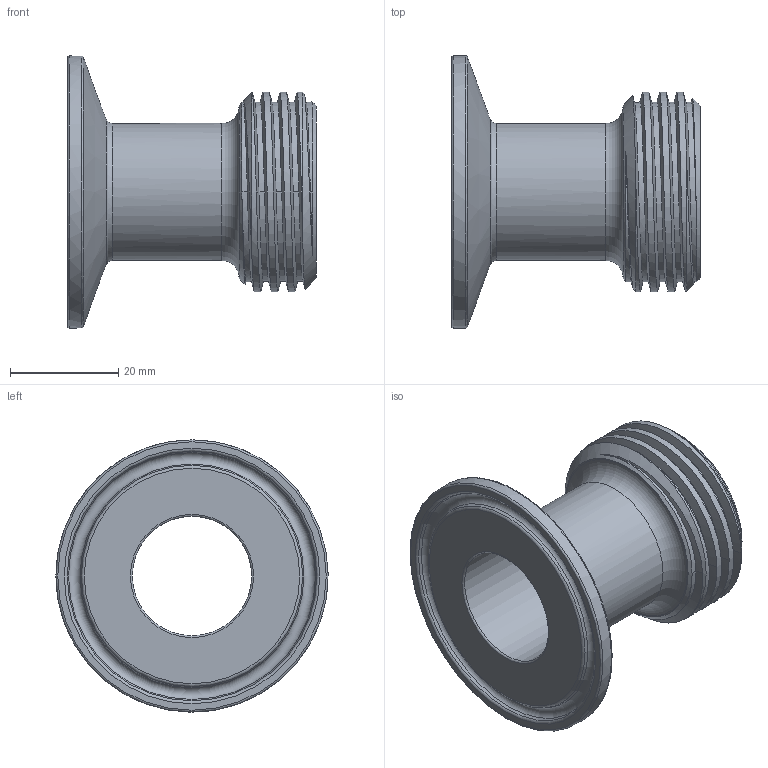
import cadquery as cq
import math

total_length = 46.05
bore_radius = 22.1 / 2
neck_radius = 25.4 / 2

flange_radius = 50.39 / 2
rim_thickness = 2.85
rim_edge_fillet = 0.35
flange_back_angle = math.radians(20)
flange_root_fillet = 1.2
bore_edge_fillet = 0.35

groove_mid_radius = 21.8
groove_mouth_half_width = 1.47
groove_wall_angle = math.radians(25)
groove_arc_radius = 1.18
groove_edge_fillet = 0.6

hub_fillet = 3.175
hub_start = 31.75
hub_fillet_end_radius = neck_radius + hub_fillet
hub_back_radius = 16.1
hub_end_radius = 15.9
crest_radius = 36.91 / 2
root_radius = 33.22 / 2

inch = 25.4
turns_per_inch = 8
pitch = inch / turns_per_inch
crest_width = 0.3707 * pitch
flank_angle = math.radians(14.5)
groove_position = 35.94
cutter_overshoot = 0.4

edge_search_tolerance = 0.02


class RadiusSelector(cq.Selector):
    """Keeps circular edges of one radius."""

    def __init__(self, radius, tolerance):
        self.radius = radius
        self.tolerance = tolerance

    def filter(self, edges):
        circles = [edge for edge in edges if edge.geomType() == "CIRCLE"]
        return [edge for edge in circles if abs(edge.radius() - self.radius) < self.tolerance]


def circle_at(x, radius, tolerance=edge_search_tolerance):
    """Selector for the circular edge of this radius at this X."""
    return cq.selectors.BoxSelector(
        (x - tolerance, -tolerance, -tolerance),
        (x + tolerance, tolerance, tolerance),
    ) & RadiusSelector(radius, tolerance)


def make_blank():
    """Solid flange, neck and hub, revolved about X, with the flange edges rounded."""
    back_chamfer = crest_radius - hub_back_radius
    end_chamfer = crest_radius - hub_end_radius
    cone_length = (flange_radius - neck_radius) * math.tan(flange_back_angle)
    flange_root = rim_thickness + cone_length
    outline = (
        cq.Workplane("XY")
        .moveTo(0, 0)
        .lineTo(0, flange_radius)
        .lineTo(rim_thickness, flange_radius)
        .lineTo(flange_root, neck_radius)
        .lineTo(hub_start - hub_fillet, neck_radius)
        .radiusArc((hub_start, hub_fillet_end_radius), -hub_fillet)
        .lineTo(hub_start, hub_back_radius)
        .lineTo(hub_start + back_chamfer, crest_radius)
        .lineTo(total_length - end_chamfer, crest_radius)
        .lineTo(total_length, hub_end_radius)
        .lineTo(total_length, 0)
        .close()
    )
    blank = outline.revolve(360, (0, 0, 0), (1, 0, 0))
    blank = blank.edges(circle_at(0, flange_radius)).fillet(rim_edge_fillet)
    blank = blank.edges(circle_at(rim_thickness, flange_radius)).fillet(rim_edge_fillet)
    return blank.edges(circle_at(flange_root, neck_radius)).fillet(flange_root_fillet)


def cut_bore(body):
    """Through bore with a rounded edge at the flange face."""
    bore = cq.Workplane("YZ").circle(bore_radius).extrude(total_length)
    return body.cut(bore).edges(circle_at(0, bore_radius)).fillet(bore_edge_fillet)


def cut_gasket_groove(body):
    """Ring groove in the flange face: sloped walls, round bottom, rounded edges."""
    arc_half_width = groove_arc_radius * math.cos(groove_wall_angle)
    wall_depth = (groove_mouth_half_width - arc_half_width) / math.tan(groove_wall_angle)
    groove_depth = wall_depth + groove_arc_radius * (1 - math.sin(groove_wall_angle))
    inner_radius = groove_mid_radius - groove_mouth_half_width
    outer_radius = groove_mid_radius + groove_mouth_half_width
    ring = (
        cq.Workplane("XY")
        .moveTo(0, inner_radius)
        .lineTo(wall_depth, groove_mid_radius - arc_half_width)
        .threePointArc((groove_depth, groove_mid_radius), (wall_depth, groove_mid_radius + arc_half_width))
        .lineTo(0, outer_radius)
        .close()
        .revolve(360, (0, 0, 0), (1, 0, 0))
    )
    grooved = body.cut(ring)
    for edge_radius in (inner_radius, outer_radius):
        grooved = grooved.edges(circle_at(0, edge_radius)).fillet(groove_edge_fillet)
    return grooved


def make_groove_turn():
    """One turn of the trapezoidal thread groove, about X, starting at X = 0 on the -Y side."""
    slope = math.tan(flank_angle)
    top_radius = crest_radius + cutter_overshoot
    half_top = (pitch - crest_width) / 2 + cutter_overshoot * slope
    half_root = half_top - (top_radius - root_radius) * slope
    turn = (
        cq.Workplane("XZ")
        .moveTo(root_radius, -half_root)
        .lineTo(top_radius, -half_top)
        .lineTo(top_radius, half_top)
        .lineTo(root_radius, half_root)
        .close()
        .sweep(cq.Workplane(cq.Wire.makeHelix(pitch, pitch, root_radius)), isFrenet=True)
    )
    turn = turn.rotate((0, 0, 0), (0, 1, 0), 90)
    return turn.rotate((0, 0, 0), (1, 0, 0), -90)


def cut_thread(body):
    """Cut the groove turn by turn, running out of both ends of the hub."""
    turn = make_groove_turn()
    turns_before = math.ceil((groove_position - hub_start) / pitch) + 1
    turns_after = math.ceil((total_length - groove_position) / pitch) + 1
    for index in range(-turns_before, turns_after):
        body = body.cut(turn.translate((groove_position + index * pitch, 0, 0)))
    return body


body = make_blank()
body = cut_bore(body)
body = cut_gasket_groove(body)
result = cut_thread(body)